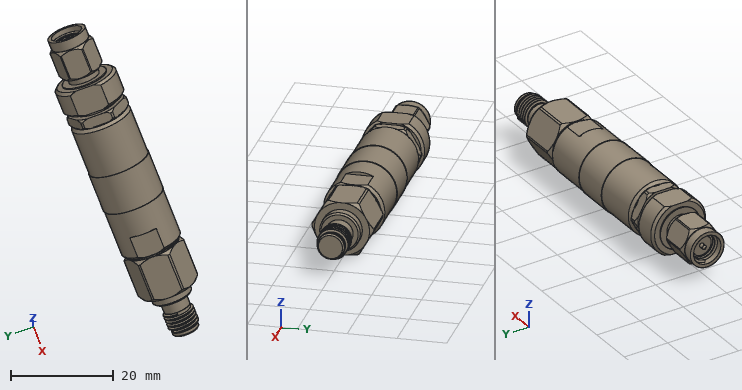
import cadquery as cq
import math

NUT_COLLAR_END = 2.1
NUT_END = 8.5
FLANGE_START = 9.75
COUPLING_START = 10.0
COUPLING_END = 15.4
LOCKNUT_START = 16.15
LOCKNUT_END = 18.3
BODY_START = 18.4
BAND_START = 28.65
BAND_END = 36.8
WRENCH_FLAT_START = 42.2
BODY_END = 47.15
HEX_START = 47.5
HEX_END = 56.55
SHOULDER_END = 58.55
JACK_THREAD_START = 60.9
JACK_THREAD_END = 65.1
TOTAL_LENGTH = 66.0

NUT_COLLAR_RADIUS = 3.9
NUT_CORNER_RADIUS = 4.48
SLEEVE_RADIUS = 3.15
FLANGE_RADIUS = 4.6
COUPLING_RADIUS = 6.35
NECK_RADIUS = 4.35
BODY_RADIUS = 6.15
BAND_RADIUS = 6.275
HEX_CORNER_RADIUS = 6.22
GROOVE_RADIUS = 5.3
SHOULDER_RADIUS = 4.08
JACK_RADIUS = 2.72
JACK_THREAD_ROOT_RADIUS = 2.65

NUT_ACROSS_FLATS = 7.9
HEX_ACROSS_FLATS = 11.0

NUT_CHAMFER = 0.7
COUPLING_CHAMFER = 0.55
LOCKNUT_CHAMFER = 0.45
HEX_CHAMFER = 0.7
BODY_CHAMFER = 0.6
SHOULDER_CHAMFER = 0.35
JACK_CHAMFER = 0.3

THREAD_PITCH = 25.4 / 36
THREAD_HEIGHT = 0.45
THREAD_ROOT_WIDTH = 0.8 * THREAD_PITCH
THREAD_CREST_WIDTH = 0.2 * THREAD_PITCH
THREAD_EMBED = 0.05

SOCKET_RADIUS = 3.15
SOCKET_DEPTH = 2.8
SOCKET_THREAD_START = 0.7
CORE_RADIUS = 2.25
CORE_FACE = 2.1
PIN_RADIUS = 0.47
PIN_START = 0.7
PIN_TIP_CHAMFER = 0.36


def cylinder(start, end, radius):
    """Cylinder about the X axis between two axial stations."""
    return cq.Workplane("YZ").workplane(offset=start).circle(radius).extrude(end - start)


def chamfered_cylinder(start, end, radius, start_chamfer=0, end_chamfer=0):
    """Cylinder about the X axis with optional chamfers at its two ends."""
    solid = cylinder(start, end, radius)
    if start_chamfer:
        solid = solid.faces("<X").edges().chamfer(start_chamfer)
    if end_chamfer:
        solid = solid.faces(">X").edges().chamfer(end_chamfer)
    return solid


def hexagon(start, end, across_flats, corner_radius, start_chamfer, end_chamfer):
    """Hexagon with flats on +Z and -Z, its corners turned down and chamfered."""
    corner_diameter = across_flats / math.cos(math.radians(30))
    prism = cq.Workplane("YZ").workplane(offset=start).polygon(6, corner_diameter).extrude(end - start)
    return prism.intersect(chamfered_cylinder(start, end, corner_radius, start_chamfer, end_chamfer))


def between_flats(solid, start, end, across_flats):
    """Cut flats on +Z and -Z between two axial stations."""
    outer_size = 2 * across_flats
    length = end - start
    middle = (start + end) / 2
    cutter = cq.Workplane("XY").box(length, outer_size, outer_size)
    cutter = cutter.cut(cq.Workplane("XY").box(length, outer_size, across_flats))
    return solid.cut(cutter.translate((middle, 0, 0)))


def thread_ridge(start, end, root_radius, outward):
    """Right-hand helical ridge about the X axis; outward is 1 or -1 (external or internal)."""
    base = root_radius - outward * THREAD_EMBED
    crest = root_radius + outward * THREAD_HEIGHT
    first_turn = start + THREAD_ROOT_WIDTH / 2
    length = end - start - THREAD_ROOT_WIDTH
    path = cq.Workplane("XY").add(cq.Wire.makeHelix(THREAD_PITCH, length, root_radius))
    profile = cq.Workplane("XZ").polyline([
        (base, -THREAD_ROOT_WIDTH / 2),
        (crest, -THREAD_CREST_WIDTH / 2),
        (crest, THREAD_CREST_WIDTH / 2),
        (base, THREAD_ROOT_WIDTH / 2),
    ]).close()
    ridge = profile.sweep(path, isFrenet=True)
    return ridge.rotate((0, 0, 0), (0, 1, 0), 90).translate((first_turn, 0, 0))


def plug():
    """Plug nut with a threaded socket, centre pin and the sleeve behind it."""
    nut = cylinder(0, NUT_COLLAR_END, NUT_COLLAR_RADIUS)
    nut = nut.union(hexagon(NUT_COLLAR_END, NUT_END, NUT_ACROSS_FLATS, NUT_CORNER_RADIUS,
                            NUT_CHAMFER, NUT_CHAMFER))
    nut = nut.cut(cylinder(0, SOCKET_DEPTH, SOCKET_RADIUS))
    nut = nut.union(cylinder(CORE_FACE, SOCKET_DEPTH, CORE_RADIUS))
    nut = nut.union(chamfered_cylinder(PIN_START, CORE_FACE, PIN_RADIUS, PIN_TIP_CHAMFER))
    nut = nut.union(thread_ridge(SOCKET_THREAD_START, SOCKET_DEPTH, SOCKET_RADIUS, -1))
    return nut.union(cylinder(NUT_END, FLANGE_START, SLEEVE_RADIUS))


def coupling():
    """Round coupling with two wrench flats, its front flange and the neck behind it."""
    ring = chamfered_cylinder(COUPLING_START, COUPLING_END, COUPLING_RADIUS,
                              COUPLING_CHAMFER, COUPLING_CHAMFER)
    ring = between_flats(ring, COUPLING_START, COUPLING_END, HEX_ACROSS_FLATS)
    ring = ring.union(cylinder(FLANGE_START, COUPLING_START, FLANGE_RADIUS))
    return ring.union(cylinder(COUPLING_END, LOCKNUT_START, NECK_RADIUS))


def body():
    """Main barrel with a raised middle band and two wrench flats near its far end."""
    barrel = chamfered_cylinder(BODY_START, BODY_END, BODY_RADIUS, BODY_CHAMFER, BODY_CHAMFER)
    barrel = between_flats(barrel, WRENCH_FLAT_START, BODY_END, HEX_ACROSS_FLATS)
    barrel = barrel.union(cylinder(BAND_START, BAND_END, BAND_RADIUS))
    barrel = barrel.union(cylinder(LOCKNUT_END, BODY_START, GROOVE_RADIUS))
    return barrel.union(cylinder(BODY_END, HEX_START, GROOVE_RADIUS))


def jack():
    """Stepped jack end with an external thread."""
    shoulder = chamfered_cylinder(HEX_END, SHOULDER_END, SHOULDER_RADIUS, 0, SHOULDER_CHAMFER)
    barrel = chamfered_cylinder(SHOULDER_END, TOTAL_LENGTH, JACK_RADIUS, 0, JACK_CHAMFER)
    relief = cylinder(JACK_THREAD_START, JACK_THREAD_END, JACK_RADIUS)
    relief = relief.cut(cylinder(JACK_THREAD_START, JACK_THREAD_END, JACK_THREAD_ROOT_RADIUS))
    barrel = barrel.cut(relief)
    ridge = thread_ridge(JACK_THREAD_START, JACK_THREAD_END, JACK_THREAD_ROOT_RADIUS, 1)
    return shoulder.union(barrel).union(ridge)


lock_nut = hexagon(LOCKNUT_START, LOCKNUT_END, HEX_ACROSS_FLATS, HEX_CORNER_RADIUS,
                   LOCKNUT_CHAMFER, LOCKNUT_CHAMFER)
end_hex = hexagon(HEX_START, HEX_END, HEX_ACROSS_FLATS, HEX_CORNER_RADIUS,
                  HEX_CHAMFER, HEX_CHAMFER)

result = plug().union(coupling()).union(lock_nut).union(body()).union(end_hex).union(jack())